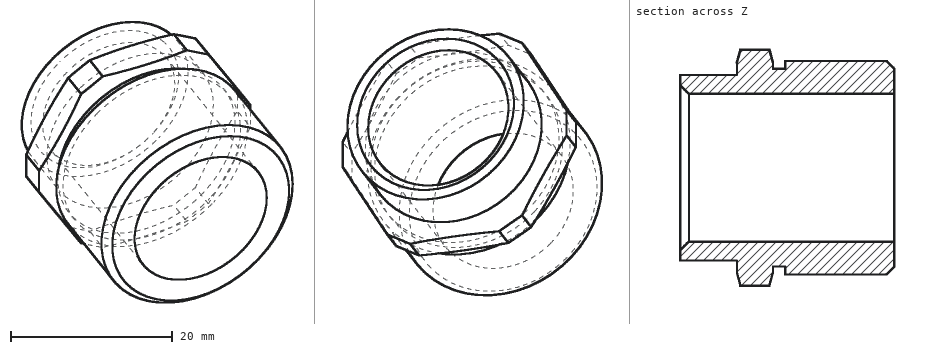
import cadquery as cq
import math

spigot_length = 7.0
nut_width = 4.5
groove_width = 1.5
total_length = 26.5

spigot_radius = 11.5
groove_radius = 12.25
body_radius = 13.22
body_chamfer = 1.0

nut_across_flats = 27.0
nut_across_corners = 29.18
nut_face_radius = 12.99
nut_chamfer_angle = 15.0

bore_radius = 9.13
bore_mouth_radius = 10.2
bore_bevel_depth = bore_mouth_radius - bore_radius

nut_start = spigot_length
nut_end = nut_start + nut_width
body_start = nut_end + groove_width


def revolve_about_x(profile):
    """Revolve a list of (x, radius) points one full turn about the X axis."""
    return cq.Workplane("XY").polyline(profile).close().revolve(360, (0, 0, 0), (1, 0, 0))


def hexagonal_bar(across_flats, first_corner_angle):
    """Hexagonal bar as long as the nut; the corner angle is turned about X from +Y."""
    circumscribed_diameter = across_flats / math.cos(math.pi / 6)
    return (
        cq.Workplane("YZ")
        .workplane(offset=nut_start)
        .polygon(6, circumscribed_diameter)
        .extrude(nut_width)
        .rotate((0, 0, 0), (1, 0, 0), first_corner_angle)
    )


def make_nut():
    flats = hexagonal_bar(nut_across_flats, 0)
    cut_corners = hexagonal_bar(nut_across_corners, 30)

    cone_radius = nut_across_corners / 2 / math.cos(math.pi / 6)
    cone_depth = (cone_radius - nut_face_radius) * math.tan(math.radians(nut_chamfer_angle))
    chamfer_envelope = revolve_about_x([
        (nut_start, 0),
        (nut_start, nut_face_radius),
        (nut_start + cone_depth, cone_radius),
        (nut_end - cone_depth, cone_radius),
        (nut_end, nut_face_radius),
        (nut_end, 0),
    ])
    return flats.intersect(cut_corners).intersect(chamfer_envelope)


def make_turned_sections():
    return revolve_about_x([
        (0, 0),
        (0, spigot_radius),
        (nut_start, spigot_radius),
        (nut_start, groove_radius),
        (body_start, groove_radius),
        (body_start, body_radius),
        (total_length - body_chamfer, body_radius),
        (total_length, body_radius - body_chamfer),
        (total_length, 0),
    ])


def make_bore():
    return revolve_about_x([
        (0, 0),
        (0, bore_mouth_radius),
        (bore_bevel_depth, bore_radius),
        (total_length, bore_radius),
        (total_length, 0),
    ])


result = make_turned_sections().union(make_nut()).cut(make_bore())